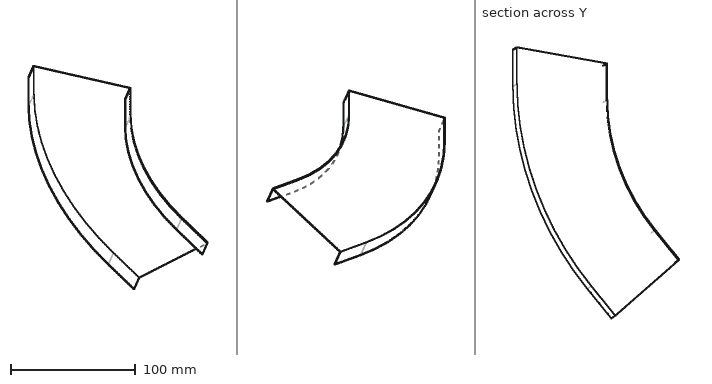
import cadquery as cq
import math

height = 214.5
depth = 14.0
width = 82.0
straight = 31.0
wall = 0.75
bend = math.radians(45)

outer_radius = (height - straight) / math.sin(bend) - straight
center_x = outer_radius
center_z = height - straight


def arc_point(radius, angle):
    """Point on a bend arc, measured down from the upper tangent point."""
    return (center_x - radius * math.cos(angle), center_z - radius * math.sin(angle))


def end_point(radius):
    """Lower end of the straight run that follows a bend arc."""
    x, z = arc_point(radius, bend)
    return (x + straight * math.sin(bend), z - straight * math.cos(bend))


def bend_band(large_radius, small_radius, length):
    """Solid band between two radii, extruded from the back face toward -Y."""
    return (
        cq.Workplane("XZ")
        .moveTo(center_x - large_radius, height)
        .lineTo(*arc_point(large_radius, 0))
        .threePointArc(arc_point(large_radius, bend / 2), arc_point(large_radius, bend))
        .lineTo(*end_point(large_radius))
        .lineTo(*end_point(small_radius))
        .lineTo(*arc_point(small_radius, bend))
        .threePointArc(arc_point(small_radius, bend / 2), arc_point(small_radius, 0))
        .lineTo(center_x - small_radius, height)
        .close()
        .extrude(length)
    )


inner_radius = outer_radius - width

plate = bend_band(outer_radius, inner_radius, wall)
outer_wall = bend_band(outer_radius, outer_radius - wall, depth)
inner_wall = bend_band(inner_radius + wall, inner_radius, depth)

result = plate.union(outer_wall).union(inner_wall)